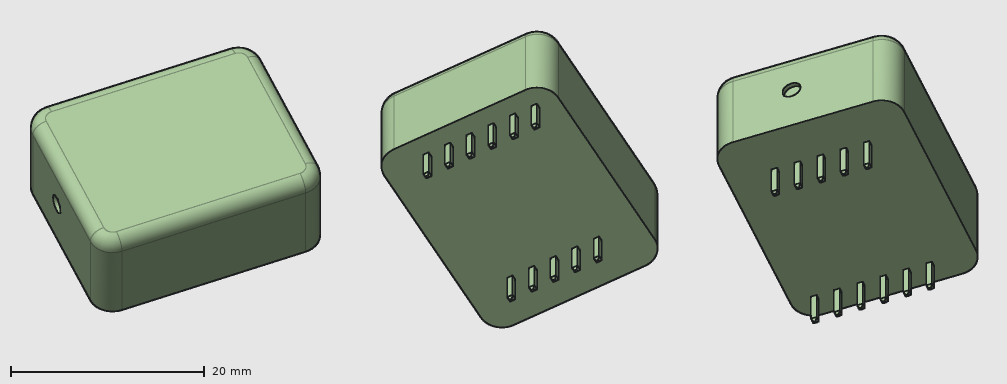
import cadquery as cq

case_width = 20.5
case_length = 25.5
case_height = 11.0
corner_radius = 2.5
rim_radius = 1.5

pin_length = 3.75
pin_side = 0.65
pin_pitch = 2.55
places_per_row = 6
empty_front_place = 0
row_center_x = -1.25
back_row_y = 10.35
row_spacing = 17.85
front_row_y = back_row_y - row_spacing
tip_length = 0.33
tip_side = 0.25

recess_diameter = 2.0
recess_depth = 0.5


def make_case():
    block = cq.Workplane("XY").box(case_width, case_length, case_height, centered=(True, True, False))
    return block.edges("|Z").fillet(corner_radius).faces(">Z").edges().fillet(rim_radius)


def make_pin(x, y):
    shank_length = pin_length - tip_length
    shank = cq.Workplane("XY").center(x, y).rect(pin_side, pin_side).extrude(-shank_length)
    tip = (
        cq.Workplane("XY", origin=(x, y, -shank_length))
        .rect(pin_side, pin_side)
        .workplane(offset=-tip_length)
        .rect(tip_side, tip_side)
        .loft(ruled=True)
    )
    return shank.union(tip)


def make_recess():
    front_wall = cq.Workplane("XZ", origin=(row_center_x, -case_length / 2, case_height / 2))
    return front_wall.circle(recess_diameter / 2).extrude(-recess_depth)


result = make_case().cut(make_recess())
first_pin_x = row_center_x - pin_pitch * (places_per_row - 1) / 2
for i in range(places_per_row):
    pin_x = first_pin_x + i * pin_pitch
    result = result.union(make_pin(pin_x, back_row_y))
    if i != empty_front_place:
        result = result.union(make_pin(pin_x, front_row_y))